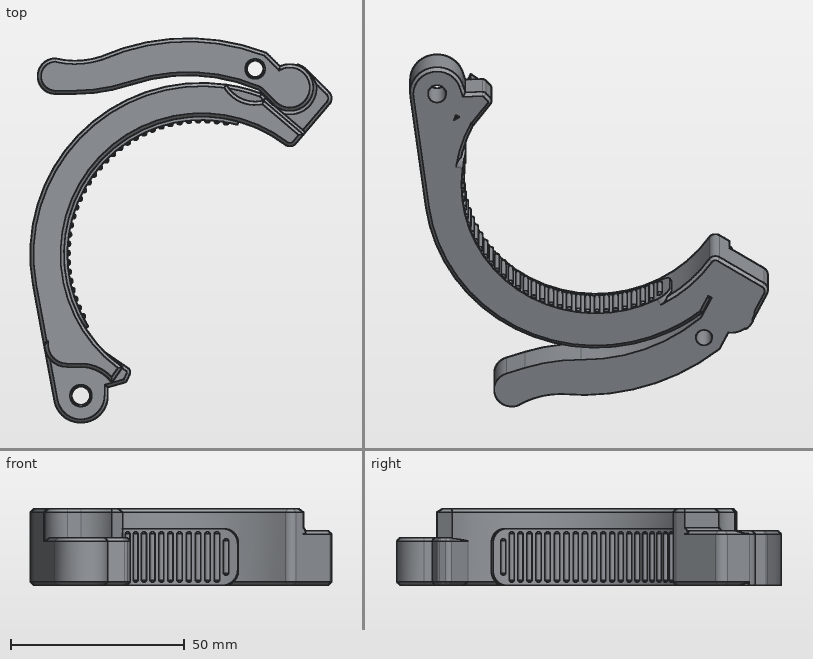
import cadquery as cq
import math

body_height = 22.0
edge_chamfer = 1.0
ring_outer_radius = 49.4
ring_inner_radius = 39.6
ring_mid_radius = (ring_outer_radius + ring_inner_radius) / 2
jaw_end_angle = 49.6
hinge_end_angle = 235.0
jaw_tip_round = 2.2

hinge_center = (-34.8, -40.67)
hinge_radius = 7.8
hinge_height = 13.7
hinge_hole_diameter = 5.2
hinge_clearance_radius = 11.1
hinge_clearance_top = -32.4
hinge_clearance_center_x = -34.8
hinge_blend_center_x = -38.7
hinge_blend_radius = 6.4
toe_start_angle = 224.9
toe_tip_inner = (-20.1, -33.4)
toe_tip_outer = (-21.7, -36.8)
toe_root_y = -38.3
toe_round = 1.4

latch_height = 15.7
knob_center = (25.3, 47.98)
knob_radius = 6.8
socket_wall = 0.3
socket_lip_angle = 71.0
socket_side_angle = 45.0
neck_side_angle = 225.0
jaw_corner_round = 2.5
jaw_root_angle = 84.0
latch_wall_distance = 45.21
scoop_radius = 9.4
base_fill = 0.9

lever_arc_center = (-3.9, 0.0)
lever_inner_radius = 51.5
lever_outer_radius = 62.2
lever_hole_center = (15.4, 53.3)
lever_hole_diameter = 4.6
hole_chamfer = 0.5
tail_center = (-42.0, 51.2)
tail_radius = 5.15
tail_flat_end_x = -36.5
thumb_rest_low = (-35.6, 55.72)
thumb_rest_end_x = -29.0
neck_outer_offset = 2.3
neck_round = 2.2
neck_gap = 0.17

pad_radius = 38.6
pad_height = 16.3
pad_start_angle = 74.5
pad_end_angle = 212.5
pad_corner_round = 4.3
rib_count = 33
rib_pitch = 4.0
rib_radius = 0.8
rib_margin = 0.9
end_rib_margin = 2.9
rib_tip = 0.5


def polar(radius, angle, center=(0.0, 0.0)):
    """Point at a radius and an angle in degrees around a centre."""
    turn = math.radians(angle)
    return (center[0] + radius * math.cos(turn), center[1] + radius * math.sin(turn))


def upper_point(center, radius, x):
    """Point on the upper half of a circle at a given x."""
    return (x, center[1] + math.sqrt(radius**2 - (x - center[0]) ** 2))


def diagonal_crossing(center, radius, total):
    """Where the line x + y = total crosses a circle, at the end with the smaller x."""
    gap = (total - center[0] - center[1]) / math.sqrt(2)
    along = math.sqrt(radius**2 - gap**2)
    return (center[0] + (gap - along) / math.sqrt(2), center[1] + (gap + along) / math.sqrt(2))


def angle_of(point, center=(0.0, 0.0)):
    return math.degrees(math.atan2(point[1] - center[1], point[0] - center[0]))


def arc_middle(center, radius, start, end):
    """Point halfway along the short arc between two points of a circle."""
    half_way = ((start[0] + end[0]) / 2, (start[1] + end[1]) / 2)
    return polar(radius, angle_of(half_way, center), center)


def chamfer_rims(solid):
    return solid.faces(">Z or <Z").edges().chamfer(edge_chamfer)


def round_upright_edge(solid, point, height, radius):
    """Fillet the upright edge standing at a point of the outline."""
    return solid.edges(cq.NearestToPointSelector((*point, height / 2))).fillet(radius)


def cylinder(center, radius, height, base=0.0):
    return cq.Workplane("XY", origin=(*center, base)).circle(radius).extrude(height)


def prism(points, height):
    return cq.Workplane("XY").polyline(points).close().extrude(height)


def turned(profile, center):
    """Solid of revolution around an upright axis, from (radius, z) points."""
    solid = cq.Workplane("XZ").polyline(profile).close().revolve(360, (0, 0, 0), (0, 1, 0))
    return solid.translate((*center, 0))


def drilled_hole(center, diameter, top):
    """Through hole with a chamfered upper rim, as a cutter."""
    radius = diameter / 2
    profile = [
        (0, 0),
        (radius, 0),
        (radius, top - hole_chamfer),
        (radius + hole_chamfer, top),
        (0, top),
    ]
    return turned(profile, center)


hinge_distance = math.hypot(*hinge_center)
flank_lean = math.degrees(math.acos((ring_outer_radius - hinge_radius) / hinge_distance))
flank_angle = angle_of(hinge_center) + 360 - flank_lean
flank_top = polar(ring_outer_radius, flank_angle)
flank_bottom = polar(hinge_radius, flank_angle, hinge_center)

knob_diagonal = sum(knob_center)
neck_inner_diagonal = knob_diagonal - knob_radius * math.sqrt(2)
neck_outer_diagonal = knob_diagonal + neck_outer_offset * math.sqrt(2)
socket_radius = knob_radius + socket_wall
jaw_side_diagonal = knob_diagonal + socket_radius * math.sqrt(2)

eye_angle = math.radians(angle_of(lever_hole_center) - jaw_end_angle)
eye_distance = math.hypot(*lever_hole_center)
eye_to_wall = eye_distance * math.cos(eye_angle) - latch_wall_distance
scoop_half_chord = math.sqrt(scoop_radius**2 - eye_to_wall**2)
latch_wall_length = eye_distance * math.sin(eye_angle) - scoop_half_chord


def along_latch_wall(position):
    """Point on the flat latch wall, measured from the jaw end face."""
    foot = polar(latch_wall_distance, jaw_end_angle)
    return polar(position, jaw_end_angle + 90, foot)


def hinge_clearance():
    """Space above the hinge lug, bounded by an S-shaped wall."""
    center = (hinge_clearance_center_x, hinge_clearance_top - hinge_clearance_radius)
    room = cylinder(center, hinge_clearance_radius, body_height)
    blend_center = (hinge_blend_center_x, hinge_clearance_top + hinge_blend_radius)
    blend_left = polar(hinge_blend_radius, 180, blend_center)
    outside_x = blend_left[0] - hinge_blend_radius
    block = (
        cq.Workplane("XY")
        .moveTo(center[0], hinge_clearance_top)
        .lineTo(hinge_blend_center_x, hinge_clearance_top)
        .threePointArc(polar(hinge_blend_radius, 225, blend_center), blend_left)
        .lineTo(outside_x, blend_center[1])
        .lineTo(outside_x, center[1])
        .lineTo(*center)
        .close()
        .extrude(body_height)
    )
    return room.union(block)


def latch_clearance():
    """Space outside the flat latch wall and inside the scoop for the lever eye."""
    beyond_end = along_latch_wall(-1.1)
    scoop_corner = along_latch_wall(latch_wall_length)
    far_point = polar(2 * ring_outer_radius, jaw_end_angle)
    beyond_wall = prism([beyond_end, scoop_corner, lever_hole_center, far_point], body_height)
    return beyond_wall.union(cylinder(lever_hole_center, scoop_radius, body_height))


def ring_arm():
    disc = cylinder((0, 0), ring_outer_radius, body_height)
    flank = prism([(0, 0), flank_top, flank_bottom, hinge_center], body_height)
    bore = cylinder((0, 0), ring_inner_radius, body_height)
    far = 3 * ring_outer_radius
    opening = prism(
        [(0, 0), polar(far, hinge_end_angle), (far, -far), polar(far, jaw_end_angle)],
        body_height,
    )
    arm = disc.union(flank).cut(bore).cut(opening).cut(hinge_clearance()).cut(latch_clearance())
    jaw_corner = polar(ring_inner_radius, jaw_end_angle)
    return chamfer_rims(round_upright_edge(arm, jaw_corner, body_height, jaw_tip_round))


def hinge_lug():
    right = polar(hinge_radius, 0, hinge_center)
    bottom = polar(hinge_radius, 270, hinge_center)
    lug = (
        cq.Workplane("XY")
        .moveTo(*flank_top)
        .lineTo(*flank_bottom)
        .threePointArc(bottom, right)
        .lineTo(right[0], toe_root_y)
        .lineTo(*toe_tip_outer)
        .lineTo(*toe_tip_inner)
        .lineTo(*polar(ring_inner_radius, toe_start_angle))
        .lineTo(*polar(ring_mid_radius, toe_start_angle))
        .close()
        .extrude(hinge_height)
    )
    for tip in (toe_tip_inner, toe_tip_outer):
        lug = round_upright_edge(lug, tip, hinge_height, toe_round)
    return chamfer_rims(lug)


def jaw_block():
    buried_radius = ring_inner_radius + jaw_tip_round + edge_chamfer
    mouth_diagonal = neck_inner_diagonal - neck_gap * math.sqrt(2)
    neck_start = diagonal_crossing((0, 0), ring_outer_radius, mouth_diagonal)
    turn = math.radians(jaw_end_angle)
    corner = polar(jaw_side_diagonal / (math.cos(turn) + math.sin(turn)), jaw_end_angle)
    ring_start = polar(ring_outer_radius, jaw_root_angle)
    block = (
        cq.Workplane("XY")
        .moveTo(*ring_start)
        .threePointArc(arc_middle((0, 0), ring_outer_radius, ring_start, neck_start), neck_start)
        .lineTo(*polar(knob_radius + neck_gap, neck_side_angle, knob_center))
        .lineTo(*polar(knob_radius / 2, neck_side_angle, knob_center))
        .lineTo(*polar(socket_radius, socket_side_angle, knob_center))
        .lineTo(*corner)
        .lineTo(*polar(buried_radius, jaw_end_angle))
        .lineTo(*polar(buried_radius, jaw_root_angle))
        .close()
        .extrude(latch_height)
    )
    block = chamfer_rims(round_upright_edge(block, corner, latch_height, jaw_corner_round))
    return block.cut(socket()).union(socket_lip())


def socket():
    """Room for the lever knob, flared at the top."""
    overshoot = edge_chamfer
    profile = [
        (0, -overshoot),
        (knob_radius, -overshoot),
        (knob_radius, latch_height - edge_chamfer),
        (knob_radius + edge_chamfer + overshoot, latch_height + overshoot),
        (0, latch_height + overshoot),
    ]
    return turned(profile, knob_center)


def socket_lip():
    """Thin lip that carries the socket wall on around the knob."""
    start = polar(socket_radius, socket_side_angle, knob_center)
    end = polar(socket_radius, socket_lip_angle, knob_center)
    sector = (
        cq.Workplane("XY")
        .moveTo(*knob_center)
        .lineTo(*start)
        .threePointArc(arc_middle(knob_center, socket_radius, start, end), end)
        .close()
        .extrude(latch_height - edge_chamfer)
    )
    return sector.cut(cylinder(knob_center, knob_radius, latch_height))


def wall_base_fill():
    """Sloped fill where the flat latch wall stands on the jaw block."""
    profile = [
        (-base_fill, -base_fill),
        (base_fill, -base_fill),
        (base_fill, 0),
        (0, base_fill),
        (-base_fill, base_fill),
    ]
    return (
        cq.Workplane("XZ")
        .polyline(profile)
        .close()
        .extrude(-latch_wall_length)
        .rotate((0, 0, 0), (0, 0, 1), jaw_end_angle)
        .translate((*along_latch_wall(0), latch_height))
    )


neck_bend = diagonal_crossing(lever_arc_center, lever_inner_radius, neck_inner_diagonal)
neck_notch = diagonal_crossing(knob_center, knob_radius, neck_outer_diagonal)
neck_shoulder = diagonal_crossing(lever_arc_center, lever_outer_radius, neck_outer_diagonal)


def lever():
    tail_bottom = polar(tail_radius, 270, tail_center)
    tail_left = polar(tail_radius, 180, tail_center)
    tail_top = polar(tail_radius, 90, tail_center)
    flat_end = (tail_flat_end_x, tail_bottom[1])

    dx = flat_end[0] - lever_arc_center[0]
    dy = flat_end[1] - lever_arc_center[1]
    bend_radius = (dx**2 + dy**2 - lever_inner_radius**2) / (2 * (lever_inner_radius - dy))
    bend_center = (flat_end[0], flat_end[1] + bend_radius)
    bend_end = polar(lever_inner_radius, angle_of(bend_center, lever_arc_center), lever_arc_center)

    thumb_end = upper_point(lever_arc_center, lever_outer_radius, thumb_rest_end_x)
    inner_middle = arc_middle(lever_arc_center, lever_inner_radius, bend_end, neck_bend)
    outer_middle = arc_middle(lever_arc_center, lever_outer_radius, neck_shoulder, thumb_end)
    bar = (
        cq.Workplane("XY")
        .moveTo(*tail_bottom)
        .lineTo(*flat_end)
        .threePointArc(arc_middle(bend_center, bend_radius, flat_end, bend_end), bend_end)
        .threePointArc(inner_middle, neck_bend)
        .lineTo(*polar(knob_radius, neck_side_angle, knob_center))
        .threePointArc(polar(knob_radius, 0, knob_center), neck_notch)
        .lineTo(*neck_shoulder)
        .threePointArc(outer_middle, thumb_end)
        .threePointArc(thumb_rest_low, tail_top)
        .threePointArc(tail_left, tail_bottom)
        .close()
        .extrude(latch_height)
    )
    for corner in (neck_shoulder, neck_bend):
        bar = round_upright_edge(bar, corner, latch_height, neck_round)
    bar = bar.faces(">Z").edges().chamfer(edge_chamfer)
    return bar.cut(drilled_hole(lever_hole_center, lever_hole_diameter, latch_height))


def grip_pad():
    """Raised pad with rounded corners, rooted in the ring wall."""
    thickness = 2 * (ring_inner_radius - pad_radius) + edge_chamfer
    pad = (
        cq.Workplane("XZ")
        .moveTo(pad_radius, 0)
        .rect(thickness, pad_height, centered=False)
        .revolve(pad_end_angle - pad_start_angle, (0, 0, 0), (0, 1, 0))
        .rotate((0, 0, 0), (0, 0, 1), pad_start_angle)
    )
    return pad.edges(cq.selectors.LengthNthSelector(0)).fillet(pad_corner_round)


def grip_rib(angle, margin):
    """Upright round rib with tapered ends, half sunk in the pad."""
    rib = cylinder(polar(pad_radius, angle), rib_radius, pad_height - 2 * margin, margin)
    return rib.faces("<Z or >Z").chamfer(rib_tip)


result = (
    ring_arm()
    .union(hinge_lug())
    .union(jaw_block())
    .union(wall_base_fill())
    .cut(drilled_hole(hinge_center, hinge_hole_diameter, hinge_height))
    .union(lever())
    .union(grip_pad())
)

first_rib_angle = (pad_start_angle + pad_end_angle - (rib_count - 1) * rib_pitch) / 2
for index in range(rib_count):
    margin = end_rib_margin if index in (0, rib_count - 1) else rib_margin
    result = result.union(grip_rib(first_rib_angle + index * rib_pitch, margin))